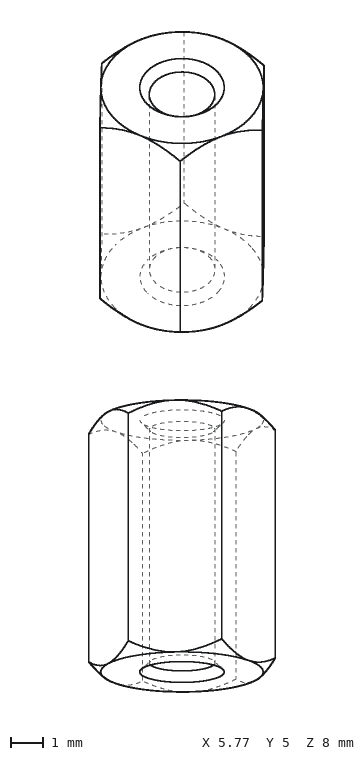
import cadquery as cq
import math

length = 8.0
across_flats = 5.0
bore_diameter = 2.02
countersink_diameter = 2.6

across_corners = across_flats / math.cos(math.radians(30))
corner_chamfer = (across_corners - across_flats) / 2
countersink_depth = (countersink_diameter - bore_diameter) / 2


def chamfered_hexagon():
    """Hexagonal bar whose end faces are turned down to the inscribed circle."""
    bar = cq.Workplane("XY").polygon(6, across_corners).extrude(length)
    turned_envelope = (
        cq.Workplane("XY")
        .circle(across_corners / 2)
        .extrude(length)
        .faces("<Z or >Z")
        .edges()
        .chamfer(corner_chamfer)
    )
    return bar.intersect(turned_envelope)


def countersunk_bore():
    """Through bore, flared at both ends, as a solid of revolution about Z."""
    bore_radius = bore_diameter / 2
    mouth_radius = countersink_diameter / 2
    return (
        cq.Workplane("XZ")
        .moveTo(0, 0)
        .lineTo(mouth_radius, 0)
        .lineTo(bore_radius, countersink_depth)
        .lineTo(bore_radius, length - countersink_depth)
        .lineTo(mouth_radius, length)
        .lineTo(0, length)
        .close()
        .revolve(360, (0, 0, 0), (0, 1, 0))
    )


result = chamfered_hexagon().cut(countersunk_bore())